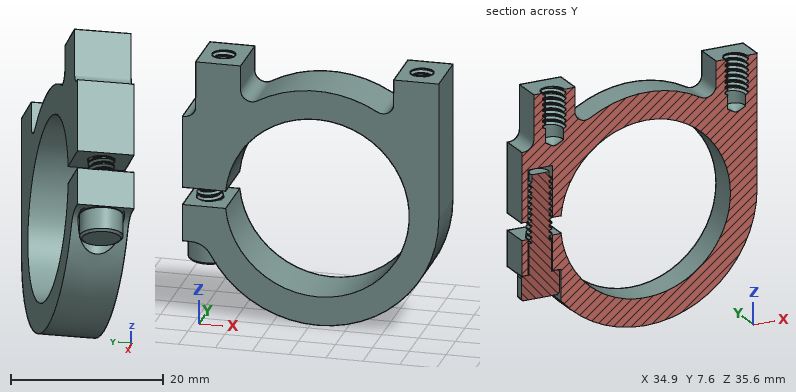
import cadquery as cq
import math

clamp_width = 7.6
bore_radius = 12.48
ring_radius = 16.5
overall_height = 35.55
top_z = overall_height - ring_radius

tower_width = 6.1
tower_x = ring_radius - tower_width / 2
tower_inner_x = ring_radius - tower_width
corner_radius = 1.5

lug_left_x = -18.28
lug_top_z = 11.25
lug_bottom_z = -6.33
lug_fillet = 3.0
slot_height = 2.42

thread_pitch = 0.8
thread_major_radius = 1.75
thread_minor_radius = 1.35
thread_overlap = 0.07
root_width = 0.95 * thread_pitch
crest_width = 0.2 * thread_pitch

tower_hole_depth = 7.1
tower_thread_turns = 8
tower_thread_runout = thread_pitch
tower_tool_standout = 3 * thread_pitch
tower_thread_angle = 235
drill_point_angle = 118

screw_x = -15.5
screw_head_radius = 2.88
screw_head_height = 3.5
screw_head_top_chamfer = 0.2
screw_head_bottom_chamfer = 0.32
screw_tip_z = 7.82
screw_thread_turns = 11
screw_thread_base_z = -1.8
screw_hole_radius = 1.8
screw_hole_end_z = 8.55
counterbore_radius = 3.05


def box_between(x_min, x_max, z_min, z_max):
    """A block across the full clamp width."""
    return (
        cq.Workplane("XY")
        .box(x_max - x_min, clamp_width, z_max - z_min)
        .translate(((x_min + x_max) / 2, 0, (z_min + z_max) / 2))
    )


def cylinder_along_z(x, radius, z_min, z_max):
    return cq.Workplane("XY", origin=(x, 0, z_min)).circle(radius).extrude(z_max - z_min)


def cylinder_along_y(radius):
    return cq.Workplane("XZ").circle(radius).extrude(clamp_width / 2, both=True)


def thread_ridge(x, base_z, turns, start_angle):
    """A right-hand helical ridge whose crest starts at base_z, at start_angle from +X."""
    inner = thread_minor_radius - thread_overlap
    helix = cq.Wire.makeHelix(thread_pitch, turns * thread_pitch, inner)
    ridge = (
        cq.Workplane("XZ")
        .polyline([
            (inner, -root_width / 2),
            (thread_major_radius, -crest_width / 2),
            (thread_major_radius, crest_width / 2),
            (inner, root_width / 2),
        ])
        .close()
        .sweep(cq.Workplane(obj=helix), isFrenet=True)
    )
    return ridge.rotate((0, 0, 0), (0, 0, 1), start_angle).translate((x, 0, base_z))


def make_clamp_blank():
    """Ring, towers and lug as one block, with the inside corners rounded."""
    blank = cylinder_along_y(ring_radius)
    blank = blank.union(box_between(tower_inner_x, ring_radius, 0, top_z))
    blank = blank.union(box_between(-ring_radius, -tower_inner_x, 0, top_z))
    blank = blank.union(box_between(lug_left_x, -bore_radius, lug_bottom_z, lug_top_z))

    notch_z = math.sqrt(ring_radius**2 - tower_inner_x**2)
    lug_corner_x = -math.sqrt(ring_radius**2 - lug_bottom_z**2)
    rounded_corners = [
        (tower_inner_x, notch_z, corner_radius),
        (-tower_inner_x, notch_z, corner_radius),
        (-ring_radius, lug_top_z, corner_radius),
        (lug_corner_x, lug_bottom_z, lug_fillet),
    ]
    for x, z, radius in rounded_corners:
        blank = blank.edges(cq.NearestToPointSelector((x, 0, z))).fillet(radius)
    return blank


def make_tower_hole(x):
    """Threaded blind hole with a conical bottom, as a solid to cut away that stands out of the top."""
    bottom_z = top_z - tower_hole_depth
    tool_top_z = top_z + tower_tool_standout
    point_height = thread_minor_radius / math.tan(math.radians(drill_point_angle / 2))
    hole = (
        cq.Workplane("XZ")
        .polyline([
            (0, tool_top_z),
            (thread_minor_radius, tool_top_z),
            (thread_minor_radius, bottom_z),
            (0, bottom_z - point_height),
        ])
        .close()
        .revolve(360, (0, 0), (0, 1))
        .translate((x, 0, 0))
    )
    thread_base_z = top_z + tower_thread_runout - tower_thread_turns * thread_pitch
    return hole.union(thread_ridge(x, thread_base_z, tower_thread_turns, tower_thread_angle))


def make_clamp():
    clamp = make_clamp_blank().cut(cylinder_along_y(bore_radius))
    clamp = clamp.cut(box_between(lug_left_x, 0, -slot_height / 2, slot_height / 2))
    clamp = clamp.cut(cylinder_along_z(screw_x, counterbore_radius, -ring_radius, lug_bottom_z))
    clamp = clamp.cut(cylinder_along_z(screw_x, screw_hole_radius, lug_bottom_z, screw_hole_end_z))
    for x in (-tower_x, tower_x):
        clamp = clamp.cut(make_tower_hole(x))
    return clamp


def make_screw():
    """Cap screw, head down, seated against the underside of the lug."""
    head_bottom_z = lug_bottom_z - screw_head_height
    head = (
        cylinder_along_z(screw_x, screw_head_radius, head_bottom_z, lug_bottom_z)
        .faces(">Z")
        .chamfer(screw_head_top_chamfer)
        .faces("<Z")
        .chamfer(screw_head_bottom_chamfer)
    )
    shank = cylinder_along_z(screw_x, thread_major_radius, lug_bottom_z, screw_thread_base_z)
    core = cylinder_along_z(screw_x, thread_minor_radius, lug_bottom_z, screw_tip_z)
    ridge = thread_ridge(screw_x, screw_thread_base_z, screw_thread_turns, 0)
    return head.union(core).union(ridge).union(shank)


clamp = make_clamp()
screw = make_screw()

result = cq.Compound.makeCompound([clamp.val(), screw.val()])